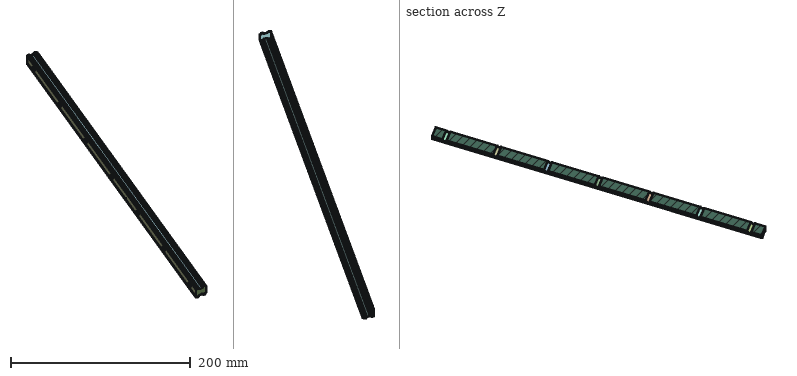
import cadquery as cq

LENGTH = 390.0
HEIGHT = 13.0
WIDTH = 15.0

HEAD_FACE_SIDE = 5.0
HEAD_BEVEL = 1.5
HEAD_SHOULDER_DEPTH = 0.35
HEAD_CREST_DEPTH = 1.75
HEAD_FLANK_DEPTH = 1.1
HEAD_FLANK_SIDE = 5.95
HEAD_FOOT_DEPTH = 0.2

WAIST_SIDE = 5.3
WAIST_DEPTH = 3.6
BASE_BEVEL = 0.7

HOLE_DIAMETER = 4.5
HOLE_PITCH = 60.0
HOLE_COUNT = 7


def upper_outline():
    """Points (y, z) of the +Z half of the cross-section, from head face to mounting face."""
    head_face = HEIGHT / 2
    mounting_face = -HEIGHT / 2
    rail_side = WIDTH / 2

    bevel_end = head_face - HEAD_BEVEL
    crest_start = bevel_end - HEAD_SHOULDER_DEPTH
    crest_end = crest_start - HEAD_CREST_DEPTH
    flank_end = crest_end - HEAD_FLANK_DEPTH
    waist_start = flank_end - HEAD_FOOT_DEPTH
    waist_end = waist_start - WAIST_DEPTH
    base_flank_end = waist_end - (rail_side - WAIST_SIDE)

    return [
        (head_face, HEAD_FACE_SIDE),
        (bevel_end, HEAD_FACE_SIDE + HEAD_BEVEL),
        (crest_start, rail_side),
        (crest_end, rail_side),
        (flank_end, HEAD_FLANK_SIDE),
        (waist_start, WAIST_SIDE),
        (waist_end, WAIST_SIDE),
        (base_flank_end, rail_side),
        (mounting_face + BASE_BEVEL, rail_side),
        (mounting_face, rail_side - BASE_BEVEL),
    ]


def rail_body():
    """Extrude the cross-section, which is symmetric about the XY plane, along X."""
    upper_half = upper_outline()
    lower_half = [(y, -z) for y, z in reversed(upper_half)]
    section = cq.Workplane("YZ", origin=(-LENGTH / 2, 0, 0)).polyline(upper_half + lower_half).close()
    return section.extrude(LENGTH)


def mounting_holes():
    """Row of through holes along Y, centred on the rail."""
    return (
        cq.Workplane("XZ", origin=(0, HEIGHT / 2, 0))
        .rarray(HOLE_PITCH, 1, HOLE_COUNT, 1)
        .circle(HOLE_DIAMETER / 2)
        .extrude(HEIGHT)
    )


result = rail_body().cut(mounting_holes())